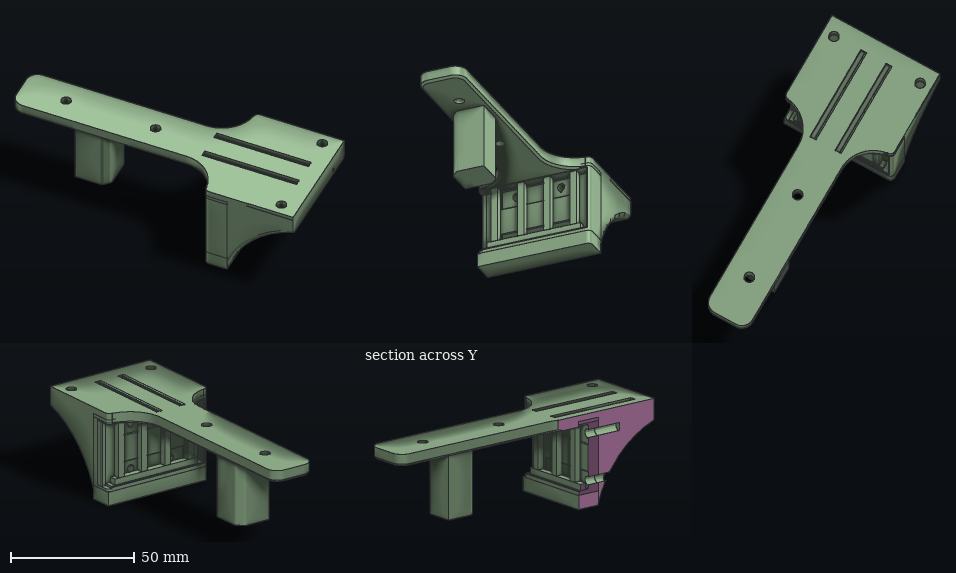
import cadquery as cq
import math

length = 133.1
height = 40.0

nub_length = 0.4
nub_dia = 1.3
nub_y = 13.8
nub_z = 33.3
head_end_x = length - nub_length
plate_thick = 5.0
arm_half_width = 10.0
arm_tip_radius = 5.0
head_y_max = 25.0
head_y_min = -25.4
head_front_x = 93.2
shoulder_radius = head_y_max - arm_half_width
arm_end_x = head_front_x - shoulder_radius
corner_radius = 2.0
underside_chamfer = 0.9
plate_bottom = height - plate_thick
head_width = head_y_max - head_y_min
head_mid_y = (head_y_max + head_y_min) / 2

screw_dia = 4.3
arm_hole_xs = (20.0, 59.9)
head_hole_x = 125.3
head_hole_offset = 20.1
slot_x_start = 83.7
slot_x_end = 125.8
slot_width = 2.0
slot_depth = 2.0
slot_bevel_width = 0.8
slot_bevel_drop = 0.3
slot_ys = (6.7, -5.0)

relief_x = 112.1
relief_ramp = 1.2
relief_height = 1.6
relief_depth = 0.1

stack_depth = 10.1
stack_back_x = head_front_x + stack_depth
base_height = 6.0
frame_top = 35.8
cap_top = 37.1

wedge_end_z = 30.6
wedge_radius = 45.3
wedge_fillet = 2.0

cavity_depth = 4.7
cavity_back_x = head_front_x + cavity_depth
cavity_y_min = -23.4
cavity_bottom = 8.0
cavity_top = 35.1
pad_bottom = 15.5
pad_top = 26.6
rim_width = 0.4
rim_depth = 0.4
recess_half_width = 16.5
recess_depth = 0.4

mount_dia = 3.2
mount_pitch = 20.0
mount_mid_z = 21.4
mount_end_x = 114.5

door_inner_y = 23.0
door_thick = 2.7
door_back_x = cavity_back_x + door_thick
door_bottom = 7.0
door_edge_chamfer = 0.4

comb_front_x = head_front_x + 0.7
comb_depth = 2.9
comb_mid_y = 0.3
comb_length = 41.8
comb_rail_height = 2.7
tooth_setback = 0.1
tooth_width = 2.9
tooth_pitch = 11.7
tooth_count = 4

post_x = 27.4
post_side = 15.0
post_bottom = 7.0
post_chamfer = 2.9
post_fillet = 2.0


def block(x0, x1, y0, y1, z0, z1):
    """Box between two opposite corners."""
    return cq.Workplane("XY").box(x1 - x0, y1 - y0, z1 - z0, centered=False).translate((x0, y0, z0))


def make_arm():
    """Arm that widens through two concave shoulders up to the front of the head."""
    diagonal = shoulder_radius * math.sqrt(0.5)
    mid_x = arm_end_x + diagonal
    mid_y = head_y_max - diagonal
    outline = (
        cq.Workplane("XY", origin=(0, 0, plate_bottom))
        .moveTo(0, -arm_half_width)
        .lineTo(arm_end_x, -arm_half_width)
        .threePointArc((mid_x, -mid_y), (head_front_x, -head_y_max))
        .lineTo(head_front_x, head_y_max)
        .threePointArc((mid_x, mid_y), (arm_end_x, arm_half_width))
        .lineTo(0, arm_half_width)
        .close()
    )
    arm = outline.extrude(plate_thick)
    arm = arm.edges("|Z").edges("<X").fillet(arm_tip_radius)
    shoulder_y = head_y_max - corner_radius
    arm = arm.intersect(block(0, head_front_x, -shoulder_y, shoulder_y, plate_bottom, height))
    return arm.faces("<Z").edges("not(>X or >Y or <Y)").chamfer(underside_chamfer)


def make_head():
    """Wide plate with its two front corners rounded."""
    head = block(head_front_x, head_end_x, head_y_min, head_y_max, plate_bottom, height)
    return head.edges("|Z and <X").fillet(corner_radius)


def make_wedge():
    """Full-width wedge with a concave underside and rounded lower edges."""
    wedge = (
        cq.Workplane("XZ", origin=(0, head_y_max, 0))
        .moveTo(stack_back_x, 0)
        .radiusArc((head_end_x, wedge_end_z), wedge_radius)
        .lineTo(head_end_x, height)
        .lineTo(stack_back_x, height)
        .close()
        .extrude(head_width)
    )
    return wedge.edges("%CIRCLE").fillet(wedge_fillet)


def make_slots():
    """Two blind slots, each with its -Y rim bevelled."""
    slots = cq.Workplane("XY")
    for y in slot_ys:
        low_y = y - slot_width / 2
        high_y = y + slot_width / 2
        section = [
            (high_y, height),
            (low_y - slot_bevel_width, height),
            (low_y, height - slot_bevel_drop),
            (low_y, height - slot_depth),
            (high_y, height - slot_depth),
        ]
        slot = cq.Workplane("YZ", origin=(slot_x_start, 0, 0)).polyline(section).close()
        slots = slots.add(slot.extrude(slot_x_end - slot_x_start))
    return slots.combine()


def make_relief():
    """Shallow side relief that starts with a ramp and runs to the +X end."""
    outline = [
        (relief_x, head_y_min),
        (relief_x + relief_ramp, head_y_min + relief_depth),
        (head_end_x, head_y_min + relief_depth),
        (head_end_x, head_y_min),
    ]
    relief = cq.Workplane("XY", origin=(0, 0, height - relief_height)).polyline(outline).close()
    return relief.extrude(relief_height)


def make_mount_holes():
    """Four teardrop holes along X with their points down."""
    radius = mount_dia / 2
    flank = radius * math.sqrt(0.5)
    holes = cq.Workplane("XY")
    for y in (-mount_pitch / 2, mount_pitch / 2):
        for z in (mount_mid_z - mount_pitch / 2, mount_mid_z + mount_pitch / 2):
            teardrop = (
                cq.Workplane("YZ", origin=(head_front_x, y, z))
                .moveTo(-flank, -flank)
                .threePointArc((0, radius), (flank, -flank))
                .lineTo(0, -2 * flank)
                .close()
            )
            holes = holes.add(teardrop.extrude(mount_end_x - head_front_x))
    return holes.combine()


def make_nub():
    """Small round nub on the +X face."""
    centre = (head_end_x, nub_y, nub_z)
    return cq.Workplane("YZ", origin=centre).circle(nub_dia / 2).extrude(nub_length)


def make_bracket():
    bracket = make_arm().union(make_head()).union(make_wedge()).union(make_nub())
    bracket = bracket.cut(block(head_front_x, stack_back_x, head_y_min, head_y_max, 0, cap_top))
    arm_holes = [(x, 0) for x in arm_hole_xs]
    head_holes = [(head_hole_x, head_mid_y + side * head_hole_offset) for side in (-1, 1)]
    holes = (
        cq.Workplane("XY", origin=(0, 0, plate_bottom))
        .pushPoints(arm_holes + head_holes)
        .circle(screw_dia / 2)
        .extrude(plate_thick)
    )
    return bracket.cut(holes).cut(make_slots()).cut(make_relief()).cut(make_mount_holes())


def make_stack_layer(bottom, top, rounded_edges="|Z and <X"):
    """Layer of the stack with its selected front vertical edges rounded."""
    layer = block(head_front_x, stack_back_x, head_y_min, head_y_max, bottom, top)
    return layer.edges(rounded_edges).fillet(corner_radius)


def make_base():
    """Lowest layer, square at its +Y front corner."""
    return make_stack_layer(0, base_height, rounded_edges="|Z and <X and <Y")


def make_recess(bottom, top):
    """Recess in the back wall of the cavity with sides that slope in at 45 degrees."""
    return (
        cq.Workplane("YZ", origin=(cavity_back_x, 0, (bottom + top) / 2))
        .rect(2 * recess_half_width, top - bottom)
        .extrude(recess_depth, taper=45)
    )


def make_frame():
    frame = make_stack_layer(base_height, frame_top)
    cavity = block(head_front_x, cavity_back_x, cavity_y_min, head_y_max, cavity_bottom, cavity_top)
    rim_y = cavity_y_min - rim_width
    rim_z = cavity_bottom - rim_width
    rim = block(head_front_x, head_front_x + rim_depth, rim_y, head_y_max, rim_z, cavity_top)
    door_seat = block(head_front_x, door_back_x, door_inner_y, head_y_max, door_bottom, cavity_top)
    frame = frame.cut(cavity).cut(rim).cut(door_seat)
    frame = frame.cut(make_recess(cavity_bottom, pad_bottom))
    frame = frame.cut(make_recess(pad_top, cavity_top))
    return frame.cut(make_mount_holes())


def make_door():
    door = block(cavity_back_x, door_back_x, door_inner_y, head_y_max, door_bottom, cavity_top)
    return door.edges("|Z and <X and >Y").chamfer(door_edge_chamfer)


def make_comb():
    """Row of upright teeth on a bottom rail, with the rail standing slightly proud in front."""
    back_x = comb_front_x + comb_depth
    rail_y = comb_mid_y - comb_length / 2
    rail_top = cavity_bottom + comb_rail_height
    comb = block(comb_front_x, back_x, rail_y, rail_y + comb_length, cavity_bottom, rail_top)
    tooth_front_x = comb_front_x + tooth_setback
    for i in range(tooth_count):
        y = comb_mid_y + (i - (tooth_count - 1) / 2) * tooth_pitch - tooth_width / 2
        tooth = block(tooth_front_x, back_x, y, y + tooth_width, cavity_bottom, cavity_top)
        comb = comb.union(tooth)
    return comb


def make_post():
    """Square post with two opposite corners cut off and softened."""
    post_end_x = post_x + post_side
    half = post_side / 2
    outline = [
        (post_x, -half),
        (post_end_x - post_chamfer, -half),
        (post_end_x, -half + post_chamfer),
        (post_end_x, half),
        (post_x + post_chamfer, half),
        (post_x, half - post_chamfer),
    ]
    post = cq.Workplane("XY", origin=(0, 0, post_bottom)).polyline(outline).close()
    post = post.extrude(plate_bottom - post_bottom)
    cut_corners = [outline[1], outline[2], outline[4], outline[5]]
    for x, y in cut_corners:
        edge = cq.selectors.NearestToPointSelector((x, y, (post_bottom + plate_bottom) / 2))
        post = post.edges("|Z").edges(edge).fillet(post_fillet)
    return post


bracket = make_bracket()
cap = make_stack_layer(frame_top, cap_top)
frame = make_frame()
base = make_base()
door = make_door()
comb = make_comb()
post = make_post()

bodies = [bracket, cap, frame, base, door, comb, post]
result = cq.Compound.makeCompound([body.solids().val() for body in bodies])